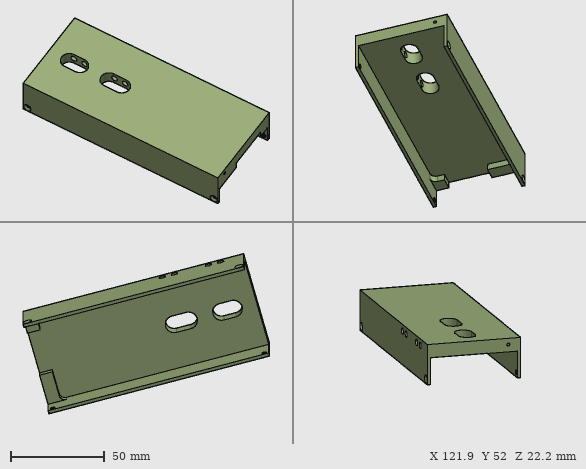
import cadquery as cq

length = 121.9
width = 52.0
height = 22.2
plate_thickness = 7.4
wall_thickness = 1.8

slot_width = 9.4
slots = [(16.1, 16.0), (41.6, 17.3)]

cross_hole_diameter = 3.4
cross_hole_spacing = 6.7
cross_hole_depth_below_top = 3.7

screw_hole_diameter = 2.4
countersink_diameter = 4.5
countersink_angle = 75.0
screw_edge_distance = 2.5

bore_diameter = 1.6
bore_y = -19.1
bore_depth_below_top = 3.4

block_height = 3.8
block_length = 7.1
block_corner_radius = 3.2
block_reach_back = 7.1
block_reach_front = 17.0

half_length = length / 2
half_width = width / 2
inner_half_width = half_width - wall_thickness
plate_underside = height - plate_thickness


def make_channel():
    body = cq.Workplane("XY").box(length, width, height, centered=(True, True, False))
    cavity = cq.Workplane("XY").box(
        length, 2 * inner_half_width, plate_underside, centered=(True, True, False)
    )
    return body.cut(cavity)


def make_block(side, reach):
    """Block against the wall on the given side (+1 or -1), blended into the wall by a concave arc."""
    wall_y = side * inner_half_width
    free_y = side * (inner_half_width - reach)
    arc_y = side * (inner_half_width - block_corner_radius)
    face_x = half_length - block_length
    return (
        cq.Workplane("XY", origin=(0, 0, plate_underside - block_height))
        .moveTo(half_length, wall_y)
        .lineTo(half_length, free_y)
        .lineTo(face_x, free_y)
        .lineTo(face_x, arc_y)
        .radiusArc((face_x - block_corner_radius, wall_y), -side * block_corner_radius)
        .close()
        .extrude(block_height)
    )


def make_slot(center_x, slot_length):
    return (
        cq.Workplane("XY", origin=(center_x, 0, plate_underside))
        .slot2D(slot_length, slot_width)
        .extrude(plate_thickness)
    )


def make_cross_holes(center_x):
    """Pair of holes along Y, from the slot's middle plane out through the +Y face."""
    hole_z = height - cross_hole_depth_below_top
    return (
        cq.Workplane("XZ", origin=(center_x, 0, hole_z))
        .pushPoints([(-cross_hole_spacing / 2, 0), (cross_hole_spacing / 2, 0)])
        .circle(cross_hole_diameter / 2)
        .extrude(-half_width)
    )


def cut_screw_holes(body, face):
    x = half_length - screw_edge_distance
    return (
        body.faces(face)
        .workplane(origin=(0, 0, screw_edge_distance))
        .pushPoints([(-x, 0), (x, 0)])
        .cskHole(screw_hole_diameter, countersink_diameter, countersink_angle, depth=wall_thickness)
    )


def make_bore():
    return (
        cq.Workplane("YZ", origin=(-half_length, bore_y, height - bore_depth_below_top))
        .circle(bore_diameter / 2)
        .extrude(length)
    )


result = make_channel()
result = result.union(make_block(1, block_reach_back))
result = result.union(make_block(-1, block_reach_front))
for face in ("<Y", ">Y"):
    result = cut_screw_holes(result, face)
for distance_from_end, slot_length in slots:
    slot_x = distance_from_end - half_length
    result = result.cut(make_slot(slot_x, slot_length))
    result = result.cut(make_cross_holes(slot_x))
result = result.cut(make_bore())